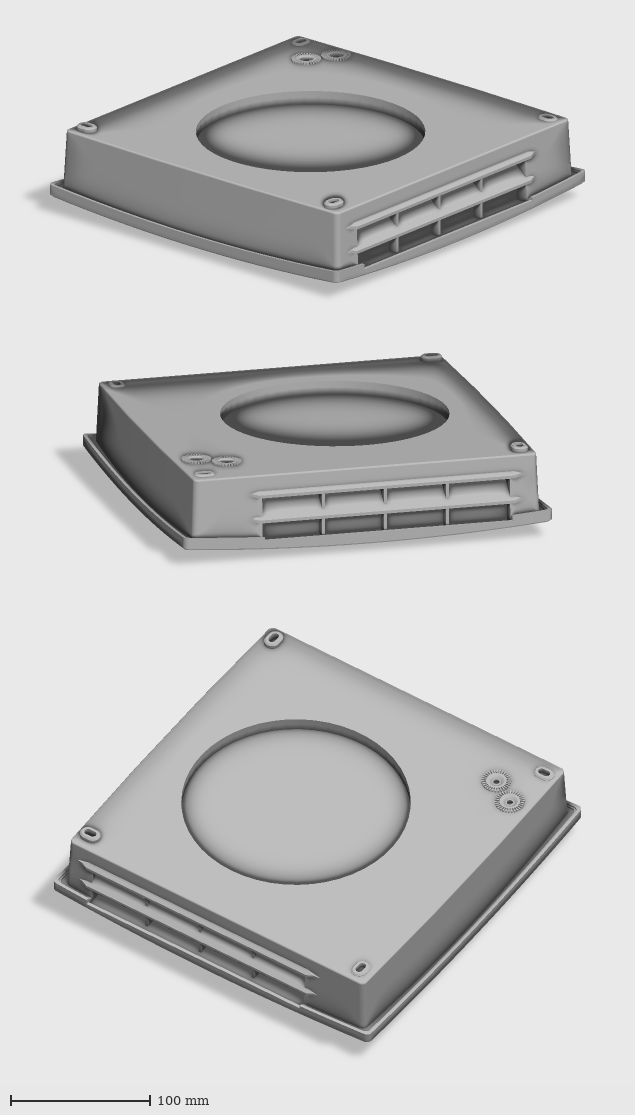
import cadquery as cq

WIDTH = 275.0
HEIGHT = 65.2
PLATE_Z = 61.3
CURVE_RADIUS = 1595.0
CUT_MARGIN = 2.8

FLANGE_CORNER = 3.9
UNDERSIDE_INSET = 1.5
FLANGE_BOTTOM_Z = 1.0
GUTTER_Z = 7.0
RIM_TOP_Z = 9.0
RIM_WIDTH = 2.5
LEDGE_WIDTH = 1.0
LEDGE_Z = 8.0

FOOT_Z = 5.5
FOOT_HALF_X = 132.0
FOOT_HALF_Y = 130.0
SIDE_BOW = 2.2
HOUSING_CORNER = 4.0
DRAFT_ANGLE = 2.4
TOP_FILLET = 1.5

RECESS_RADIUS = 82.5
RECESS_CENTER = (6.0, -14.5)
RECESS_DEPTH = 10.2

VENT_CENTER_Y = -14.9
VENT_LENGTH = 184.8
VENT_CELLS = 4
RIB_THICKNESS = 2.2
RIB_FACE_X = 129.0
NOTCH_Z = 14.5
VENT_FLOOR_Z = 11.5
VENT_DEPTH_X = 122.0
OUTSIDE_X = WIDTH / 2 + CUT_MARGIN
LOUVRE_SLOPE = 0.8
FIN_TIP_X = 133.7
FIN_ROOT_X = 126.5
FIN_LENGTH = 209.5
FIN_TIP_LENGTH = 190.9
FIN_TIP_HEIGHT = 2.2
FIN_WALL_HEIGHT = 4.7
FIN_BOTTOMS = (26.5, 45.0)

SLOT_LENGTH = 15.7
SLOT_WIDTH = 11.5
SLOT_CHAMFER = 1.0
SLOT_HOLE_LENGTH = 9.4
SLOT_HOLE_WIDTH = 5.2
SLOT_HOLE_DEPTH = 2.8
LOW_BOSS_Z = PLATE_Z + 1.5
SLOTS = (
    (-117.5, 117.2, 90, LOW_BOSS_Z),
    (117.5, 117.2, 0, LOW_BOSS_Z),
    (-117.5, -117.7, 0, HEIGHT),
    (117.5, -117.7, 90, HEIGHT),
)

GROMMETS = ((-80.0, 112.8), (-91.5, 93.2))
GROMMET_RADIUS = 10.7
GROMMET_HEIGHT = 1.5
FUNNEL_RADIUS = 5.8
FUNNEL_FLOOR_RADIUS = 3.9
BORE_RADIUS = 2.2
BORE_DEPTH = 2.8
TOOTH_COUNT = 30
TOOTH_ROOT_RADIUS = 7.5
TOOTH_GAP = 1.0


def curved_bowl(base_z):
    """Big ball whose lowest point lies on the Z axis at base_z."""
    return cq.Workplane("XY").sphere(CURVE_RADIUS).translate((0, 0, base_z + CURVE_RADIUS))


def rounded_block(inset):
    """Square block with rounded corners, set in from the outer side."""
    side = WIDTH - 2 * inset
    block = cq.Workplane("XY").rect(side, side).extrude(HEIGHT / 2)
    return block.edges("|Z").fillet(FLANGE_CORNER)


def make_flange():
    cover = rounded_block(UNDERSIDE_INSET).intersect(curved_bowl(0))
    band = rounded_block(0).intersect(curved_bowl(FLANGE_BOTTOM_Z))
    flange = cover.union(band).cut(curved_bowl(RIM_TOP_Z))
    ledge = rounded_block(RIM_WIDTH).intersect(curved_bowl(LEDGE_Z))
    gutter = rounded_block(RIM_WIDTH + LEDGE_WIDTH).intersect(curved_bowl(GUTTER_Z))
    return flange.cut(ledge).cut(gutter)


def make_housing():
    x, y = FOOT_HALF_X, FOOT_HALF_Y
    outline = (
        cq.Workplane("XY").workplane(offset=FOOT_Z)
        .moveTo(-x, -y)
        .threePointArc((0, -y - SIDE_BOW), (x, -y))
        .lineTo(x, y)
        .threePointArc((0, y + SIDE_BOW), (-x, y))
        .close()
    )
    housing = outline.extrude(PLATE_Z - FOOT_Z, taper=DRAFT_ANGLE)
    housing = housing.edges("not(<Z or >Z)").fillet(HOUSING_CORNER)
    housing = housing.faces(">Z").edges().fillet(TOP_FILLET)
    return housing.intersect(curved_bowl(FLANGE_BOTTOM_Z))


def along_y(profile, length):
    """Extrude an XZ profile along Y, centred on the vent."""
    solid = cq.Workplane("XZ").polyline(profile).close().extrude(length / 2, both=True)
    return solid.translate((0, VENT_CENTER_Y, 0))


def make_vent_openings():
    """Rows of cells at the +X side: inclined louvre above, flat-floored pocket below."""
    lower_fin, upper_fin = FIN_BOTTOMS
    tip_z = lower_fin + FIN_TIP_HEIGHT
    louvre_back_x = FIN_TIP_X - (upper_fin - tip_z) / LOUVRE_SLOPE
    louvre = ((FIN_TIP_X, tip_z), (FIN_TIP_X, upper_fin), (louvre_back_x, upper_fin))
    rim_x = WIDTH / 2 - RIM_WIDTH
    pocket = (
        (VENT_DEPTH_X, VENT_FLOOR_Z),
        (rim_x, VENT_FLOOR_Z),
        (rim_x, lower_fin),
        (VENT_DEPTH_X, lower_fin),
    )
    openings = along_y(louvre, VENT_LENGTH).union(along_y(pocket, VENT_LENGTH))
    pitch = VENT_LENGTH / VENT_CELLS
    for i in range(1, VENT_CELLS):
        rib_y = VENT_CENTER_Y - VENT_LENGTH / 2 + i * pitch
        rib = cq.Workplane("XY").box(RIB_FACE_X, RIB_THICKNESS, HEIGHT, centered=(False, True, False))
        openings = openings.cut(rib.translate((0, rib_y, 0)))
    return openings


def make_fin(bottom_z):
    """Wedge-shaped fin on the +X side with pointed ends."""
    top_z = bottom_z + FIN_WALL_HEIGHT
    tip_z = bottom_z + FIN_TIP_HEIGHT
    wall_x = FIN_TIP_X - (FIN_WALL_HEIGHT - FIN_TIP_HEIGHT) / LOUVRE_SLOPE
    profile = (
        (FIN_ROOT_X, bottom_z),
        (FIN_TIP_X, bottom_z),
        (FIN_TIP_X, tip_z),
        (wall_x, top_z),
        (FIN_ROOT_X, top_z),
    )
    half, half_tip = FIN_LENGTH / 2, FIN_TIP_LENGTH / 2
    plan = (
        cq.Workplane("XY")
        .polyline([(FIN_ROOT_X, -half), (wall_x, -half), (FIN_TIP_X, -half_tip),
                   (FIN_TIP_X, half_tip), (wall_x, half), (FIN_ROOT_X, half)])
        .close().extrude(HEIGHT)
    )
    side = (
        cq.Workplane("YZ")
        .polyline([(-half, tip_z), (-half_tip, bottom_z), (half_tip, bottom_z),
                   (half, tip_z), (half_tip, top_z), (-half_tip, top_z)])
        .close().extrude(WIDTH)
    )
    return along_y(profile, FIN_LENGTH).intersect(plan.intersect(side).translate((0, VENT_CENTER_Y, 0)))


def both_sides(solid):
    return solid.union(solid.mirror("YZ"))


def slot_boss(x, y, turn, top_z):
    boss = cq.Workplane("XY").workplane(offset=PLATE_Z - TOP_FILLET)
    boss = boss.slot2D(SLOT_LENGTH, SLOT_WIDTH).extrude(top_z - PLATE_Z + TOP_FILLET)
    boss = boss.faces(">Z").edges().chamfer(SLOT_CHAMFER)
    return boss.rotate((0, 0, 0), (0, 0, 1), turn).translate((x, y, 0))


def slot_hole(x, y, turn):
    hole = cq.Workplane("XY").workplane(offset=PLATE_Z - SLOT_HOLE_DEPTH)
    hole = hole.slot2D(SLOT_HOLE_LENGTH, SLOT_HOLE_WIDTH).extrude(HEIGHT)
    return hole.rotate((0, 0, 0), (0, 0, 1), turn).translate((x, y, 0))


def grommet_ring(x, y):
    """Raised disc whose outer ring is split into teeth by radial gaps."""
    disc = cq.Workplane("XY").circle(GROMMET_RADIUS).extrude(GROMMET_HEIGHT)
    gap_length = GROMMET_RADIUS - TOOTH_ROOT_RADIUS + CUT_MARGIN
    gaps = (
        cq.Workplane("XY")
        .polarArray(TOOTH_ROOT_RADIUS + gap_length / 2, 0, 360, TOOTH_COUNT)
        .rect(gap_length, TOOTH_GAP).extrude(GROMMET_HEIGHT)
    )
    return disc.cut(gaps).translate((x, y, PLATE_Z))


def grommet_bore(x, y):
    """Funnel through the disc followed by a blind bore."""
    bore = (
        cq.Workplane("XZ")
        .polyline([(0, -BORE_DEPTH), (BORE_RADIUS, -BORE_DEPTH), (BORE_RADIUS, 0),
                   (FUNNEL_FLOOR_RADIUS, 0), (FUNNEL_RADIUS, GROMMET_HEIGHT), (0, GROMMET_HEIGHT)])
        .close().revolve(360, (0, 0), (0, 1))
    )
    return bore.translate((x, y, PLATE_Z))


result = make_flange().union(make_housing())

recess = cq.Workplane("XY").workplane(offset=PLATE_Z).center(*RECESS_CENTER)
result = result.cut(recess.circle(RECESS_RADIUS).extrude(-RECESS_DEPTH))

for fin_bottom in FIN_BOTTOMS:
    result = result.union(both_sides(make_fin(fin_bottom)))

notch = along_y(
    ((FOOT_HALF_X, NOTCH_Z), (OUTSIDE_X, NOTCH_Z),
     (OUTSIDE_X, FIN_BOTTOMS[0]), (FOOT_HALF_X, FIN_BOTTOMS[0])),
    VENT_LENGTH,
)
result = result.cut(both_sides(notch)).cut(both_sides(make_vent_openings()))

for x, y, turn, top_z in SLOTS:
    result = result.union(slot_boss(x, y, turn, top_z)).cut(slot_hole(x, y, turn))

for x, y in GROMMETS:
    result = result.union(grommet_ring(x, y)).cut(grommet_bore(x, y))